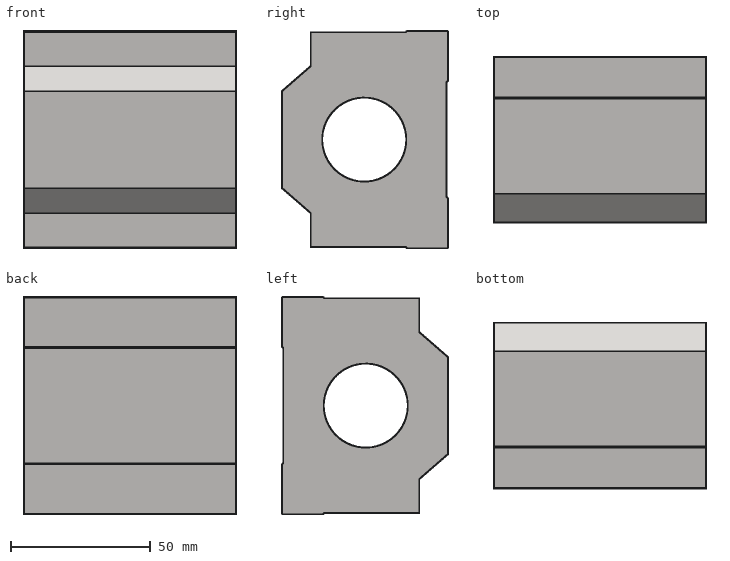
import cadquery as cq

length = 76.0
depth = 59.5
height = 78.0

rib_projection = 10.3
rib_root_height = 52.7
rib_face_height = 34.8

pad_rise = 0.5
side_pad_width = 14.7
rear_pad_width = 17.95
corner_chamfer = 0.3

bore_diameter = 30.0
bore_to_rear = 30.0

rear_y = bore_to_rear
front_y = rear_y - depth
shoulder_y = front_y + rib_projection
pad_edge_y = rear_y - side_pad_width
half_height = height / 2
body_half_height = half_height - pad_rise
pad_edge_z = half_height - rear_pad_width

upper_profile = [
    (front_y, rib_face_height / 2),
    (shoulder_y, rib_root_height / 2),
    (shoulder_y, body_half_height),
    (pad_edge_y - pad_rise, body_half_height),
    (pad_edge_y, half_height),
    (rear_y - corner_chamfer, half_height),
    (rear_y, half_height - corner_chamfer),
    (rear_y, pad_edge_z),
    (rear_y - pad_rise, pad_edge_z - pad_rise),
]
lower_profile = [(y, -z) for y, z in reversed(upper_profile)]

body = (
    cq.Workplane("YZ")
    .polyline(upper_profile + lower_profile)
    .close()
    .extrude(length / 2, both=True)
)
bore = cq.Workplane("YZ").circle(bore_diameter / 2).extrude(length / 2, both=True)

result = body.cut(bore)